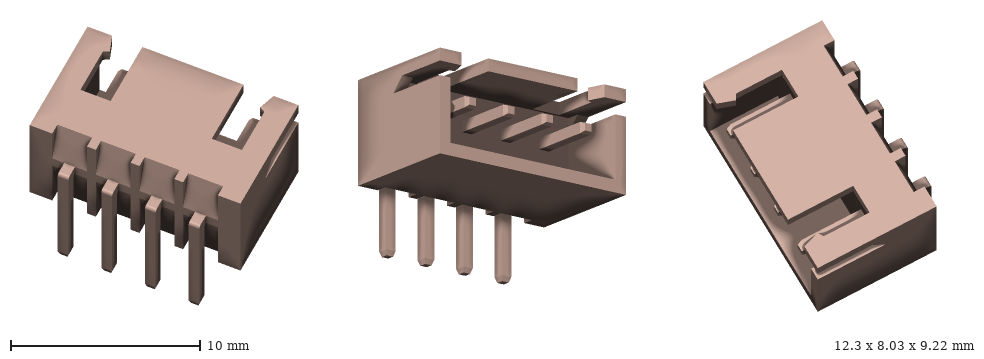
import cadquery as cq


housing_width = 12.29
housing_depth = 7.21
housing_height = 5.85
wall = 0.71
cavity_depth = 4.12
cavity_roof_z = housing_height - wall

pin_count = 4
pin_pitch = 2.55
pin_size = 0.63
pin_top_z = 3.67
pin_rear_y = -0.82
pin_bottom_z = -3.37
pin_front_setback = 0.22
bend_outer_radius = 0.21
bend_inner_radius = 0.17
tip_length = 0.3
tip_size = 0.43

pocket_width = 2.03
pocket_depth = 0.65
upper_pocket_height = 2.18
lower_pocket_height = pin_top_z - pin_size

slot_side_margin = 1.44
slot_width = 1.76
slot_outer_x = housing_width / 2 - slot_side_margin
slot_inner_x = slot_outer_x - slot_width
slot_length = 3.96
hook_reach = 0.33
hook_ramp_length = 1.0
hook_total_length = 1.17

window_height = 0.81
window_length = cavity_depth

pin_xs = [(i - (pin_count - 1) / 2) * pin_pitch for i in range(pin_count)]


def extrude_across(points, width, x_center):
    """Extrude a (Y, Z) outline along X, centred on x_center."""
    profile = cq.Workplane("YZ", origin=(x_center, 0, 0)).polyline(points).close()
    return profile.extrude(width / 2, both=True)


def shell():
    """Housing block with the mating cavity open toward +Y."""
    block = cq.Workplane("XY").box(
        housing_width, housing_depth, housing_height, centered=(True, False, False)
    )
    cavity = cq.Workplane("XY", origin=(0, housing_depth - cavity_depth, wall)).box(
        housing_width - 2 * wall, cavity_depth, cavity_roof_z - wall, centered=(True, False, False)
    )
    return block.cut(cavity)


def latch_slot(side):
    """Roof slot with a latch hook left on its outer edge; side is -1 or +1."""
    front_y = housing_depth
    end_y = front_y - slot_length
    outline = [
        (side * slot_inner_x, front_y),
        (side * slot_outer_x, front_y),
        (side * (slot_outer_x - hook_reach), front_y - hook_ramp_length),
        (side * slot_outer_x, front_y - hook_total_length),
        (side * slot_outer_x, end_y),
        (side * slot_inner_x, end_y),
    ]
    return cq.Workplane("XY", origin=(0, 0, cavity_roof_z)).polyline(outline).close().extrude(wall)


def side_windows():
    """Window cut straight across the housing, through both side walls."""
    sill_z = cavity_roof_z - window_height
    end_y = housing_depth - window_length
    outline = [
        (housing_depth, sill_z),
        (end_y, sill_z),
        (end_y + window_height, cavity_roof_z),
        (housing_depth, cavity_roof_z),
    ]
    return extrude_across(outline, housing_width, 0)


def rear_pockets(x):
    """Wedge pockets, deepest at the top and bottom faces of the housing."""
    upper = [
        (0, housing_height - upper_pocket_height),
        (0, housing_height),
        (pocket_depth, housing_height),
    ]
    lower = [(0, lower_pocket_height), (0, 0), (pocket_depth, 0)]
    return extrude_across(upper, pocket_width, x).union(extrude_across(lower, pocket_width, x))


def tapered_tip(plane):
    """Four-sided taper that ends a pin, built outward from the given plane."""
    return (
        cq.Workplane(plane).rect(pin_size, pin_size)
        .workplane(offset=tip_length).rect(tip_size, tip_size)
        .loft(ruled=True)
    )


def pin(x):
    """Square pin bent down at the rear, tapered at both ends."""
    front_y = housing_depth - pin_front_setback - tip_length
    inner_y = pin_rear_y + pin_size
    under_z = pin_top_z - pin_size
    tail_z = pin_bottom_z + tip_length
    outline = [
        (front_y, pin_top_z),
        (pin_rear_y, pin_top_z),
        (pin_rear_y, tail_z),
        (inner_y, tail_z),
        (inner_y, under_z),
        (front_y, under_z),
    ]
    bent = extrude_across(outline, pin_size, x)
    bent = bent.edges(cq.NearestToPointSelector((x, pin_rear_y, pin_top_z))).fillet(bend_outer_radius)
    bent = bent.edges(cq.NearestToPointSelector((x, inner_y, under_z))).fillet(bend_inner_radius)

    front_center = (x, front_y, pin_top_z - pin_size / 2)
    tail_center = (x, pin_rear_y + pin_size / 2, tail_z)
    front_tip = tapered_tip(cq.Plane(front_center, xDir=(1, 0, 0), normal=(0, 1, 0)))
    tail_tip = tapered_tip(cq.Plane(tail_center, xDir=(1, 0, 0), normal=(0, 0, -1)))
    return bent.union(front_tip).union(tail_tip)


result = shell().cut(side_windows())
for side in (-1, 1):
    result = result.cut(latch_slot(side))
for x in pin_xs:
    result = result.cut(rear_pockets(x))
    result = result.union(pin(x))